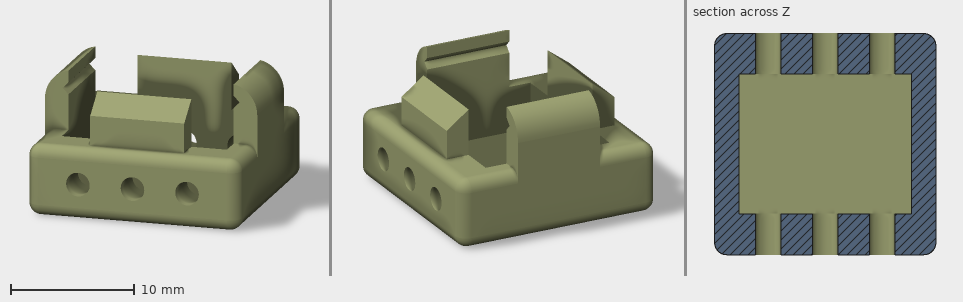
import cadquery as cq
import math

body_side = 18.0
body_height = 6.0
edge_radius = 1.0

wall_thickness = 2.0
floor_thickness = 2.0
pocket_length = body_side - 2 * wall_thickness
pocket_width = 11.34

clip_top = 11.0
clip_width = 7.5
clip_back_radius = 2.5
groove_height = 9.5
groove_half_opening = 0.5
groove_depth = 0.5

guide_length = 7.97
guide_inner_height = 10.0
guide_outer_height = 8.5

hole_diameter = 2.0
hole_spacing = 4.63
hole_height = floor_thickness + hole_diameter / 2


def make_body():
    block = cq.Workplane("XY").box(body_side, body_side, body_height, centered=(True, True, False))
    return block.edges().fillet(edge_radius)


def make_clip():
    """Clip on the +X side; its base runs down the full pocket wall to the floor."""
    outer_x = body_side / 2
    inner_x = pocket_length / 2

    arc_center_x = outer_x - clip_back_radius
    end_angle = math.acos((inner_x - arc_center_x) / clip_back_radius)
    arc_center_z = clip_top - clip_back_radius * math.sin(end_angle)
    mid_angle = end_angle / 2
    arc_middle = (
        arc_center_x + clip_back_radius * math.cos(mid_angle),
        arc_center_z + clip_back_radius * math.sin(mid_angle),
    )

    return (
        cq.Workplane("XZ")
        .moveTo(inner_x, floor_thickness)
        .lineTo(outer_x, floor_thickness)
        .lineTo(outer_x, arc_center_z)
        .threePointArc(arc_middle, (inner_x, clip_top))
        .lineTo(inner_x, groove_height + groove_half_opening)
        .lineTo(inner_x + groove_depth, groove_height)
        .lineTo(inner_x, groove_height - groove_half_opening)
        .close()
        .extrude(clip_width / 2, both=True)
    )


def make_guide():
    """Guide block on the +Y side, flush with the pocket wall."""
    inner_y = pocket_width / 2
    outer_y = inner_y + wall_thickness
    profile = [
        (inner_y, floor_thickness),
        (outer_y, floor_thickness),
        (outer_y, guide_outer_height),
        (inner_y, guide_inner_height),
    ]
    return cq.Workplane("YZ").polyline(profile).close().extrude(guide_length / 2, both=True)


def make_pocket():
    pocket = cq.Workplane("XY").workplane(offset=floor_thickness)
    return pocket.rect(pocket_length, pocket_width).extrude(body_height)


def make_holes():
    centers = [(step * hole_spacing, hole_height) for step in (-1, 0, 1)]
    holes = cq.Workplane("XZ").pushPoints(centers).circle(hole_diameter / 2)
    return holes.extrude(body_side, both=True)


clip = make_clip()
guide = make_guide()

result = make_body().cut(make_pocket())
result = result.union(clip).union(clip.mirror("YZ"))
result = result.union(guide).union(guide.mirror("XZ"))
result = result.cut(make_holes())